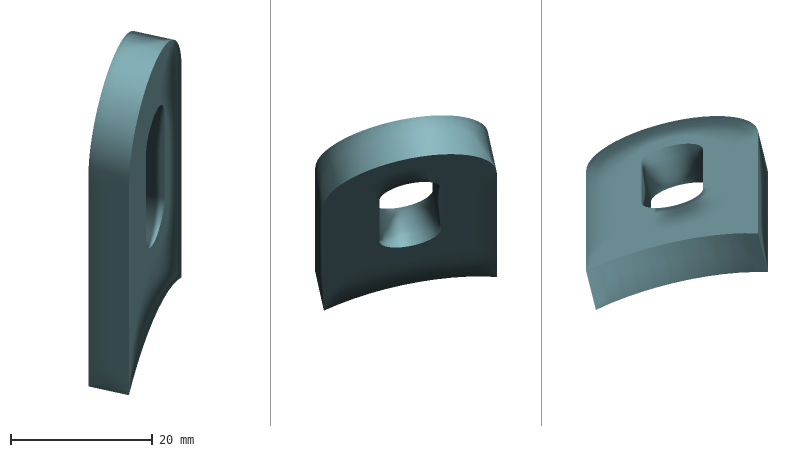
import cadquery as cq

height = 54.1
width = 25.0
thickness = 6.0
saddle_rise = 4.1
slot_width = 9.0
slot_length = 25.0
slot_top_margin = 10.0

half_width = width / 2
top = height / 2
bottom = -height / 2
shoulder = top - half_width
slot_center = top - slot_top_margin - slot_length / 2


def plate():
    """Upright plate with a round top and a concave bottom edge."""
    return (
        cq.Workplane("YZ")
        .moveTo(-half_width, bottom)
        .lineTo(-half_width, shoulder)
        .threePointArc((0, top), (half_width, shoulder))
        .lineTo(half_width, bottom)
        .threePointArc((0, bottom + saddle_rise), (-half_width, bottom))
        .close()
        .extrude(thickness / 2, both=True)
    )


def slot():
    """Vertical round-ended slot through the full thickness."""
    return (
        cq.Workplane("YZ")
        .center(0, slot_center)
        .slot2D(slot_length, slot_width, 90)
        .extrude(thickness / 2, both=True)
    )


result = plate().cut(slot())